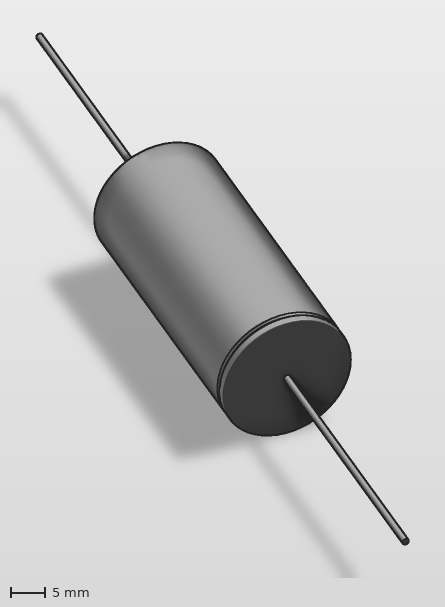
import cadquery as cq

overall_length = 130.0
body_length = 45.8
body_diameter = 20.5
body_edge_radius = 0.1
lead_diameter = 1.0

groove_width = 0.8
groove_depth = 0.3
groove_to_body_end = 1.2


def rod(diameter, length):
    """Solid cylinder along X, centred on the origin."""
    return cq.Workplane("YZ", origin=(-length / 2, 0, 0)).circle(diameter / 2).extrude(length)


def groove_ring():
    """Ring of V-shaped section, open at the body surface."""
    right = body_length / 2 - groove_to_body_end
    left = right - groove_width
    body_radius = body_diameter / 2
    bottom = ((left + right) / 2, body_radius - groove_depth)
    section = cq.Workplane("XY").polyline([(left, body_radius), bottom, (right, body_radius)]).close()
    return section.revolve(360, (0, 0), (1, 0))


body = rod(body_diameter, body_length).faces("<X or >X").edges().fillet(body_edge_radius)
body = body.cut(groove_ring())
leads = rod(lead_diameter, overall_length)
result = body.union(leads)